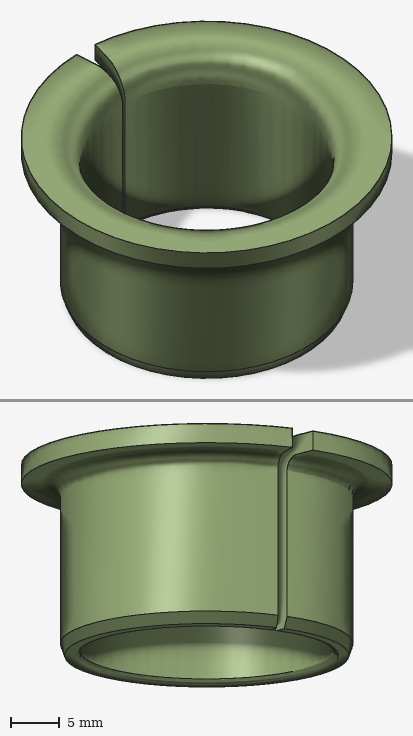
import cadquery as cq
import math

flange_radius = 19.0
height = 20.0
flange_thickness = 2.0

wall = 2.0
barrel_radius = 15.0
bore_radius = barrel_radius - wall

outer_bend = 1.5
inner_bend = outer_bend + wall

chamfer_height = 1.2
chamfer_angle = 20.0
chamfer_width = chamfer_height * math.tan(math.radians(chamfer_angle))

bore_rounding = 0.5

split_half_angle = 10.0
split_bore_gap = 0.38


def flanged_sleeve():
    """Revolve the L-shaped wall section about Z."""
    flange_bottom = height - flange_thickness
    arc_mid = math.sqrt(0.5)
    bend_x = barrel_radius + outer_bend
    bend_z = flange_bottom - outer_bend
    inner_x = bore_radius + inner_bend
    inner_z = height - inner_bend
    section = (
        cq.Workplane("XZ")
        .moveTo(bore_radius, bore_rounding)
        .threePointArc(
            (bore_radius + bore_rounding * (1 - arc_mid), bore_rounding * (1 - arc_mid)),
            (bore_radius + bore_rounding, 0),
        )
        .lineTo(barrel_radius - chamfer_width, 0)
        .lineTo(barrel_radius, chamfer_height)
        .lineTo(barrel_radius, bend_z)
        .threePointArc(
            (bend_x - outer_bend * arc_mid, bend_z + outer_bend * arc_mid),
            (bend_x, flange_bottom),
        )
        .lineTo(flange_radius, flange_bottom)
        .lineTo(flange_radius, height)
        .lineTo(inner_x, height)
        .threePointArc(
            (inner_x - inner_bend * arc_mid, inner_z + inner_bend * arc_mid),
            (bore_radius, inner_z),
        )
        .close()
    )
    sleeve = section.revolve(360, (0, 0, 0), (0, 1, 0))
    return sleeve.rotate((0, 0, 0), (0, 0, 1), 180)


def split_wedge():
    """Full-height wedge whose tip lies just inside the bore."""
    slope = math.tan(math.radians(split_half_angle))
    tip_x = -bore_radius + split_bore_gap / 2 / slope
    outer_x = -1.2 * flange_radius
    half_width = (tip_x - outer_x) * slope
    return (
        cq.Workplane("XY")
        .polyline([(tip_x, 0), (outer_x, half_width), (outer_x, -half_width)])
        .close()
        .extrude(height)
    )


result = flanged_sleeve().cut(split_wedge())